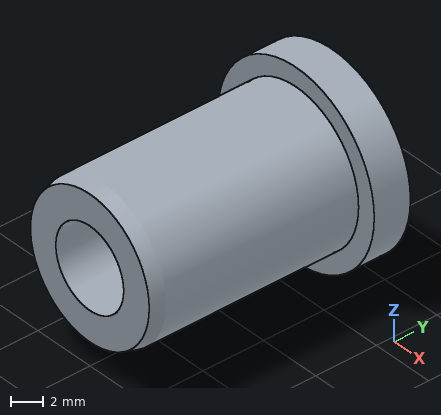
import cadquery as cq
import math

total_length = 20.0
flange_diameter = 15.0
flange_thickness = 3.0
body_diameter = 12.0
bore_diameter = 6.5
lead_in_length = 1.12
lead_in_angle = 15.0

flange_radius = flange_diameter / 2
body_radius = body_diameter / 2
bore_radius = bore_diameter / 2
tip_radius = body_radius - lead_in_length * math.tan(math.radians(lead_in_angle))
flange_start = total_length - flange_thickness

half_section = (
    cq.Workplane("XY")
    .moveTo(bore_radius, 0)
    .lineTo(tip_radius, 0)
    .lineTo(body_radius, lead_in_length)
    .lineTo(body_radius, flange_start)
    .lineTo(flange_radius, flange_start)
    .lineTo(flange_radius, total_length)
    .lineTo(bore_radius, total_length)
    .close()
)

result = half_section.revolve(360, (0, 0, 0), (0, 1, 0))